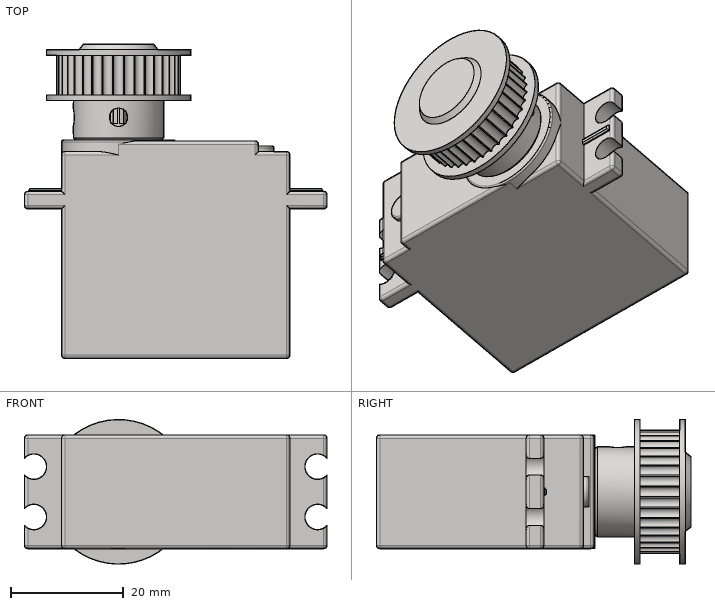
import cadquery as cq
import math


case_length = 40.45
case_thickness = 20.15
shoulder_height = 36.65
plateau_height = 38.55
plateau_right = 14.65
edge_fillet = 0.6

ear_span = 53.6
ear_bottom = 26.5
ear_top = 29.65
ear_hole_radius = 2.25
ear_hole_x = 25.1
ear_hole_z = 4.45
rib_end_x = 26.05
rib_width = 1.3
rib_height = 0.45
rib_chamfer = 0.3

boss_radius = case_thickness / 2
boss_top = 38.7
boss_fillet = 0.35
bump_radius = 2.75
bump_top = 37.65
bump_fillet = 0.35
spline_start = 41.65
spline_teeth = 16
spline_tip_radius = 3.1
spline_root_radius = 2.8
spline_tooth_width = 0.4

shaft_x = boss_radius - case_length / 2
pulley_bottom = boss_top
flange_radius = 12.8
flange_thickness = 1.0
lower_flange_y = 45.7
upper_flange_y = 53.7
hub_radius = 8.0
hub_chamfer = 0.4
cone_base_radius = 7.0
cone_top_radius = 6.25
pulley_top = 55.7
set_screw_radius = 1.6
set_screw_y = 42.7
belt_teeth = 36
belt_tip_radius = 11.0
belt_land_width = 0.2
belt_groove_depth = 0.65

shaft_end = lower_flange_y


def cylinder_y(radius, y_from, y_to, x=0.0):
    """Cylinder along +Y between two heights, centred on z = 0."""
    return cq.Workplane(cq.Solid.makeCylinder(
        radius, y_to - y_from, cq.Vector(x, y_from, 0), cq.Vector(0, 1, 0)))


def case_block():
    """Case, shoulders and ears as one outline, with rounded outer edges."""
    half_case = case_length / 2
    half_span = ear_span / 2
    plateau_left = shaft_x - edge_fillet
    outline = [
        (-half_case, 0), (half_case, 0),
        (half_case, ear_bottom), (half_span, ear_bottom),
        (half_span, ear_top), (half_case, ear_top),
        (half_case, shoulder_height), (plateau_right, shoulder_height),
        (plateau_right, plateau_height), (plateau_left, plateau_height),
        (plateau_left, shoulder_height), (-half_case, shoulder_height),
        (-half_case, ear_top), (-half_span, ear_top),
        (-half_span, ear_bottom), (-half_case, ear_bottom),
    ]
    block = cq.Workplane("XY").polyline(outline).close().extrude(case_thickness / 2, both=True)

    rounded_corners = [
        (-half_case, 0), (half_case, 0),
        (half_span, ear_bottom), (half_span, ear_top),
        (half_case, shoulder_height), (plateau_right, plateau_height),
        (-half_case, shoulder_height),
        (-half_span, ear_top), (-half_span, ear_bottom),
    ]
    edges = block.faces("|Z").edges()
    for x, y in rounded_corners:
        edges = edges.add(block.edges(cq.selectors.NearestToPointSelector((x, y, 0))))
    return edges.fillet(edge_fillet)


def ear_holes():
    """Open mounting holes through both ears."""
    holes = cq.Workplane("XY")
    for x in (-ear_hole_x, ear_hole_x):
        for z in (-ear_hole_z, ear_hole_z):
            hole = cylinder_y(ear_hole_radius, ear_bottom, ear_top, x).translate((0, 0, z))
            holes = holes.add(hole)
    return holes.combine()


def ear_ribs():
    """Low chamfered rib on each ear, running out from the case wall."""
    rib_length = rib_end_x - case_length / 2 + edge_fillet
    ribs = cq.Workplane("XY")
    for side in (-1, 1):
        rib = (
            cq.Workplane("XY")
            .box(rib_length, 2 * rib_height, rib_width)
            .edges(">Y").chamfer(rib_chamfer)
            .translate((side * (rib_end_x - rib_length / 2), ear_top, 0))
        )
        ribs = ribs.add(rib)
    return ribs.combine()


def splined_shaft():
    """Round neck carrying a straight-toothed spline."""
    shaft = cylinder_y(spline_tip_radius, boss_top - edge_fillet, spline_start, shaft_x)
    shaft = shaft.union(cylinder_y(spline_root_radius, spline_start, shaft_end, shaft_x))
    spline_length = shaft_end - spline_start
    tooth_blank = (
        cq.Workplane("XY")
        .box(spline_tooth_width, spline_length, spline_tip_radius, centered=(True, False, False))
        .translate((shaft_x, spline_start, 0))
    )
    teeth = cq.Workplane("XY")
    for i in range(spline_teeth):
        angle = i * 360 / spline_teeth
        teeth = teeth.add(tooth_blank.rotate((shaft_x, 0, 0), (shaft_x, 1, 0), angle))
    tip_envelope = cylinder_y(spline_tip_radius, spline_start, shaft_end, shaft_x)
    return shaft.union(teeth.combine().intersect(tip_envelope))


def make_servo():
    """Complete servo: case, ears, output boss, cover bump and shaft."""
    boss = cylinder_y(boss_radius, ear_top, boss_top, shaft_x).faces(">Y").edges().fillet(boss_fillet)
    bump = cylinder_y(bump_radius, ear_top, bump_top, plateau_right).faces(">Y").edges().fillet(bump_fillet)
    return (
        case_block()
        .cut(ear_holes())
        .union(ear_ribs())
        .union(boss)
        .union(bump)
        .union(splined_shaft())
    )


def belt_grooves():
    """Round-bottomed grooves between the belt teeth."""
    half_groove = math.pi / belt_teeth - belt_land_width / (2 * belt_tip_radius)
    half_width = belt_tip_radius * math.sin(half_groove)
    mouth_z = belt_tip_radius * math.cos(half_groove)
    root_z = belt_tip_radius - belt_groove_depth
    arc_radius = (half_width**2 + (mouth_z - root_z)**2) / (2 * (mouth_z - root_z))
    cutter = cylinder_y(arc_radius, lower_flange_y + flange_thickness, upper_flange_y, shaft_x)
    cutter = cutter.translate((0, 0, root_z + arc_radius))
    grooves = cq.Workplane("XY")
    for i in range(belt_teeth):
        grooves = grooves.add(cutter.rotate((shaft_x, 0, 0), (shaft_x, 1, 0), i * 360 / belt_teeth))
    return grooves.combine()


def set_screw_holes():
    """Two radial holes into the bore, one from -X and one from +Z."""
    start = cq.Vector(shaft_x, set_screw_y, 0)
    from_side = cq.Solid.makeCylinder(set_screw_radius, hub_radius, start, cq.Vector(-1, 0, 0))
    from_top = cq.Solid.makeCylinder(set_screw_radius, hub_radius, start, cq.Vector(0, 0, 1))
    return cq.Workplane(from_side).union(cq.Workplane(from_top))


def make_pulley():
    """Flanged timing pulley with a hub, a blind bore and two set-screw holes."""
    upper_flange_top = upper_flange_y + flange_thickness
    profile = [
        (0, pulley_bottom), (hub_radius - hub_chamfer, pulley_bottom),
        (hub_radius, pulley_bottom + hub_chamfer), (hub_radius, lower_flange_y),
        (flange_radius, lower_flange_y), (flange_radius, lower_flange_y + flange_thickness),
        (belt_tip_radius, lower_flange_y + flange_thickness), (belt_tip_radius, upper_flange_y),
        (flange_radius, upper_flange_y), (flange_radius, upper_flange_top),
        (cone_base_radius, upper_flange_top), (cone_top_radius, pulley_top), (0, pulley_top),
    ]
    body = cq.Workplane("XY").polyline(profile).close().revolve(360, (0, 0, 0), (0, 1, 0))
    bore = cylinder_y(spline_tip_radius, pulley_bottom, shaft_end, shaft_x)
    return (
        body.translate((shaft_x, 0, 0))
        .cut(belt_grooves())
        .cut(bore)
        .cut(set_screw_holes())
    )


servo = make_servo()
pulley = make_pulley()

result = cq.Compound.makeCompound([servo.solids().val(), pulley.solids().val()])